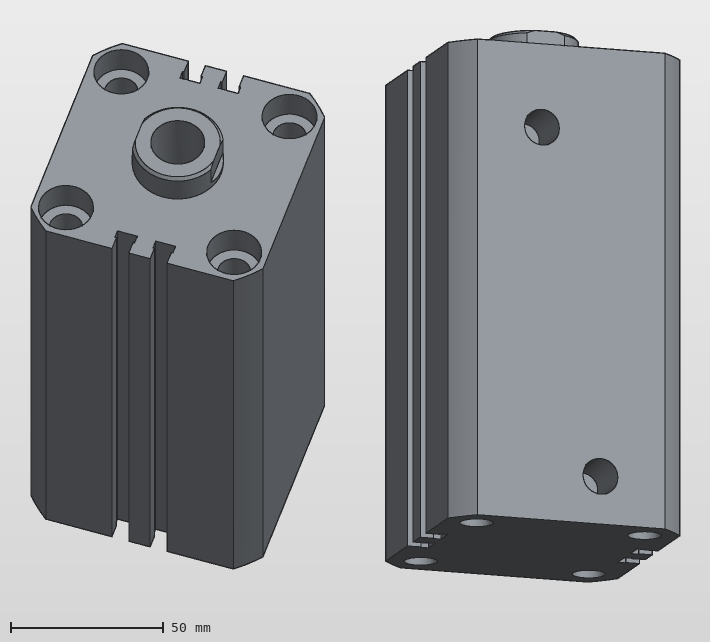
import cadquery as cq
import math

side = 80.0
housing_height = 160.0
corner_flat_half = 32.3
corner_radius = math.hypot(side / 2, corner_flat_half)

mount_spacing = 58.0
mount_hole_diameter = 11.0
counterbore_diameter = 18.0
counterbore_depth = 11.0

slot_spacing = 13.2
slot_neck_width = 5.8
slot_foot_width = 6.8
slot_neck_depth = 4.6
slot_depth = 7.4

port_mouth_diameter = 12.0
port_floor_diameter = 10.8
port_depth = 19.2
port_offset = 10.1
lower_port_height = 16.0
upper_port_drop = 28.0
port_positions = [
    (-port_offset, lower_port_height),
    (port_offset, housing_height - upper_port_drop),
]

rod_diameter = 30.0
total_height = 171
rod_seat_depth = 51.3
rod_chamfer = 1.0
rod_bottom = housing_height - rod_seat_depth
flat_width = 27.0
flat_height = 8.0
rod_hole_diameter = 17.6
rod_hole_depth = 34.2
drill_tip_angle = 118


def build_block():
    half = side / 2
    diagonal = corner_radius / math.sqrt(2)
    return (
        cq.Workplane("XY")
        .moveTo(-corner_flat_half, -half)
        .lineTo(corner_flat_half, -half)
        .threePointArc((diagonal, -diagonal), (half, -corner_flat_half))
        .lineTo(half, corner_flat_half)
        .threePointArc((diagonal, diagonal), (corner_flat_half, half))
        .lineTo(-corner_flat_half, half)
        .threePointArc((-diagonal, diagonal), (-half, corner_flat_half))
        .lineTo(-half, -corner_flat_half)
        .threePointArc((-diagonal, -diagonal), (-corner_flat_half, -half))
        .close()
        .extrude(housing_height)
    )


def cut_mounting_holes(block):
    return (
        block.faces(">Z")
        .workplane(origin=(0, 0, housing_height))
        .rect(mount_spacing, mount_spacing, forConstruction=True)
        .vertices()
        .cboreHole(mount_hole_diameter, counterbore_diameter, counterbore_depth)
    )


def slot_cutter(x, y_side):
    """Full-height T slot at x, opening through the -Y (y_side = -1) or +Y (y_side = 1) side."""
    foot_depth = slot_depth - slot_neck_depth
    neck_y = y_side * (side - slot_neck_depth) / 2
    foot_y = y_side * (side / 2 - slot_neck_depth - foot_depth / 2)
    upright = (True, True, False)
    neck = cq.Workplane("XY").center(x, neck_y).box(
        slot_neck_width, slot_neck_depth, housing_height, centered=upright
    )
    foot = cq.Workplane("XY").center(x, foot_y).box(
        slot_foot_width, foot_depth, housing_height, centered=upright
    )
    return neck.union(foot)


def port_cutter(y, z):
    """Blind port running in +X from the -X side, narrowing towards its flat floor."""
    return (
        cq.Workplane("XY")
        .lineTo(port_mouth_diameter / 2, 0)
        .lineTo(port_floor_diameter / 2, port_depth)
        .lineTo(0, port_depth)
        .close()
        .revolve(360, (0, 0), (0, 1))
        .rotate((0, 0, 0), (0, 0, 1), -90)
        .translate((-side / 2, y, z))
    )


def build_housing():
    housing = cut_mounting_holes(build_block())
    for y_side in (-1, 1):
        for x in (-slot_spacing / 2, slot_spacing / 2):
            housing = housing.cut(slot_cutter(x, y_side))
    for y, z in port_positions:
        housing = housing.cut(port_cutter(y, z))
    rod_seat = cq.Workplane("XY", origin=(0, 0, rod_bottom)).circle(rod_diameter / 2).extrude(rod_seat_depth)
    return housing.cut(rod_seat)


def flat_cutter():
    """Wrench flat on the +X side of the rod, running out through a 45 degree slope at its lower end."""
    flat_x = flat_width / 2
    flat_bottom = total_height - flat_height
    outer_x = rod_diameter
    return (
        cq.Workplane("XZ")
        .moveTo(flat_x, total_height)
        .lineTo(flat_x, flat_bottom)
        .lineTo(outer_x, flat_bottom - (outer_x - flat_x))
        .lineTo(outer_x, total_height)
        .close()
        .extrude(rod_diameter / 2, both=True)
    )


def rod_hole_cutter():
    """Drilled hole down the rod axis with a conical end."""
    hole_radius = rod_hole_diameter / 2
    tip_length = hole_radius / math.tan(math.radians(drill_tip_angle / 2))
    hole_bottom = total_height - rod_hole_depth
    return (
        cq.Workplane("XZ")
        .moveTo(0, total_height)
        .lineTo(hole_radius, total_height)
        .lineTo(hole_radius, hole_bottom)
        .lineTo(0, hole_bottom - tip_length)
        .close()
        .revolve(360, (0, 0), (0, 1))
    )


def build_rod():
    rod = (
        cq.Workplane("XY", origin=(0, 0, rod_bottom))
        .circle(rod_diameter / 2)
        .extrude(total_height - rod_bottom)
        .faces(">Z")
        .chamfer(rod_chamfer)
    )
    flat = flat_cutter()
    return rod.cut(flat).cut(flat.mirror("YZ")).cut(rod_hole_cutter())


housing = build_housing()
rod = build_rod()
result = cq.Compound.makeCompound([housing.val(), rod.val()])